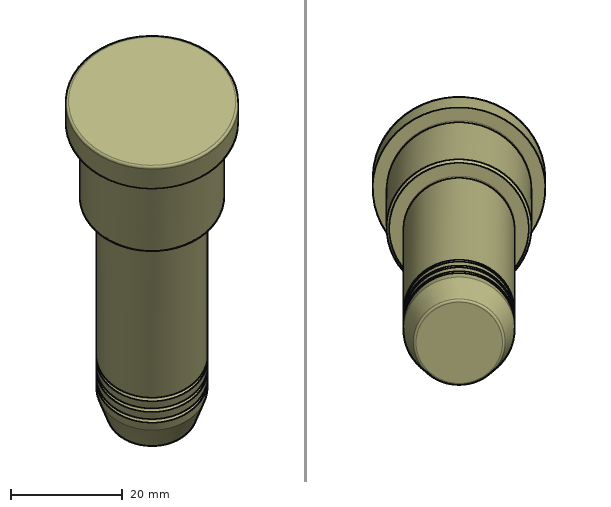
import cadquery as cq
import math

total_height = 87.0
head_diameter = 31.0
head_height = 6.0
head_fillet = 0.5
collar_diameter = 26.0
collar_length = 21.0
collar_chamfer = 0.5
shaft_diameter = 20.0

tip_height = 7.0
tip_angle = 15.0
tip_fillet = 0.5

groove_radius = 0.5
first_groove_height = 9.5
last_groove_height = 15.5
groove_count = 3
groove_pitch = (last_groove_height - first_groove_height) / (groove_count - 1)

head_bottom = total_height - head_height
collar_bottom = head_bottom - collar_length


def cylinder(diameter, bottom, top):
    return cq.Workplane("XY").workplane(offset=bottom).circle(diameter / 2).extrude(top - bottom)


def ring_groove(diameter, height):
    """Torus whose tube is centred on a cylinder of the given diameter."""
    axis = cq.Vector(0, 0, 1)
    return cq.Workplane(cq.Solid.makeTorus(diameter / 2, groove_radius, cq.Vector(0, 0, height), axis))


def make_tip():
    """Cone that widens to the shaft diameter, with a rounded lower edge."""
    end_radius = shaft_diameter / 2 - tip_height * math.tan(math.radians(tip_angle))
    cone = cq.Solid.makeCone(end_radius, shaft_diameter / 2, tip_height)
    return cq.Workplane(cone).faces("<Z").edges().fillet(tip_fillet)


head = cylinder(head_diameter, head_bottom, total_height).faces(">Z").edges().fillet(head_fillet)
collar = cylinder(collar_diameter, collar_bottom, head_bottom).faces("<Z").edges().chamfer(collar_chamfer)
shaft = cylinder(shaft_diameter, tip_height, collar_bottom)

collar = collar.cut(ring_groove(collar_diameter, head_bottom - groove_radius))
shaft = shaft.cut(ring_groove(shaft_diameter, collar_bottom - groove_radius))

for index in range(groove_count):
    groove_height = first_groove_height + index * groove_pitch
    shaft = shaft.cut(ring_groove(shaft_diameter, groove_height))

result = make_tip().union(shaft).union(collar).union(head)